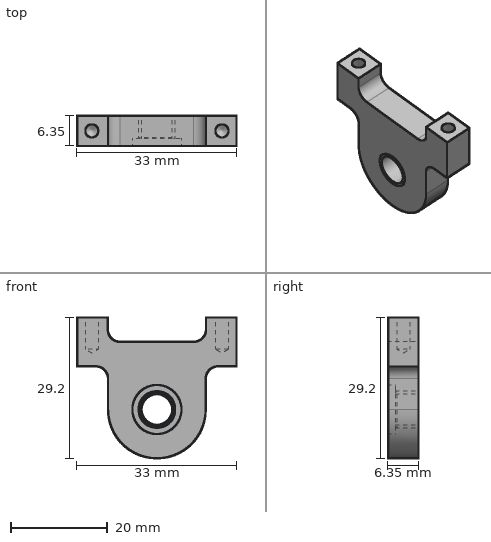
import cadquery as cq
import math

overall_width = 33.02
thickness = 6.35
body_radius = 10.15
top_height = 19.1
saddle_height = 14.05
ear_bottom_height = 8.9
corner_radius = 2.5

recess_radius = 5.1
recess_depth = 1.6

bushing_outer_radius = 3.8
bushing_inner_radius = 3.17
bushing_chamfer = 0.23

ear_hole_spacing = 26.95
ear_hole_radius = 1.35
ear_hole_depth = 6.6
drill_point_angle = 118.0

half_width = overall_width / 2
front_y = -thickness / 2
back_y = thickness / 2
recess_floor_y = front_y + recess_depth


def y_cylinder(radius, start_y, end_y):
    """Cylinder on the bore axis between two Y positions."""
    return cq.Workplane("XZ", origin=(0, start_y, 0)).circle(radius).extrude(start_y - end_y)


def make_plate():
    """Round-bottomed plate with two ears and rounded inside corners."""
    plate = (
        cq.Workplane("XZ", origin=(0, back_y, 0))
        .moveTo(-body_radius, 0)
        .threePointArc((0, -body_radius), (body_radius, 0))
        .lineTo(body_radius, ear_bottom_height)
        .lineTo(half_width, ear_bottom_height)
        .lineTo(half_width, top_height)
        .lineTo(body_radius, top_height)
        .lineTo(body_radius, saddle_height)
        .lineTo(-body_radius, saddle_height)
        .lineTo(-body_radius, top_height)
        .lineTo(-half_width, top_height)
        .lineTo(-half_width, ear_bottom_height)
        .lineTo(-body_radius, ear_bottom_height)
        .close()
        .extrude(thickness)
    )
    for x in (-body_radius, body_radius):
        for z in (ear_bottom_height, saddle_height):
            corner = cq.selectors.NearestToPointSelector((x, 0, z))
            plate = plate.edges(corner).fillet(corner_radius)
    return plate


def make_ear_hole(x):
    """Drilled hole with a conical bottom, to be cut from an ear top."""
    point_length = ear_hole_radius / math.tan(math.radians(drill_point_angle / 2))
    floor_height = top_height - ear_hole_depth
    return (
        cq.Workplane("XZ", origin=(x, 0, 0))
        .moveTo(0, top_height)
        .lineTo(ear_hole_radius, top_height)
        .lineTo(ear_hole_radius, floor_height)
        .lineTo(0, floor_height - point_length)
        .close()
        .revolve(360, (0, 0), (0, 1))
    )


def make_bracket():
    """Plate with its bushing bore, front recess and ear holes."""
    bracket = make_plate()
    bracket = bracket.cut(y_cylinder(recess_radius, front_y, recess_floor_y))
    bracket = bracket.cut(y_cylinder(bushing_outer_radius, front_y, back_y))
    for x in (-ear_hole_spacing / 2, ear_hole_spacing / 2):
        bracket = bracket.cut(make_ear_hole(x))
    return bracket


def make_bushing():
    """Plain sleeve whose chamfered front end is flush with the recess floor."""
    sleeve = y_cylinder(bushing_outer_radius, recess_floor_y, back_y)
    sleeve = sleeve.faces("<Y").chamfer(bushing_chamfer)
    return sleeve.cut(y_cylinder(bushing_inner_radius, front_y, back_y))


bracket = make_bracket()
bushing = make_bushing()
result = cq.Compound.makeCompound([bracket.val(), bushing.val()])